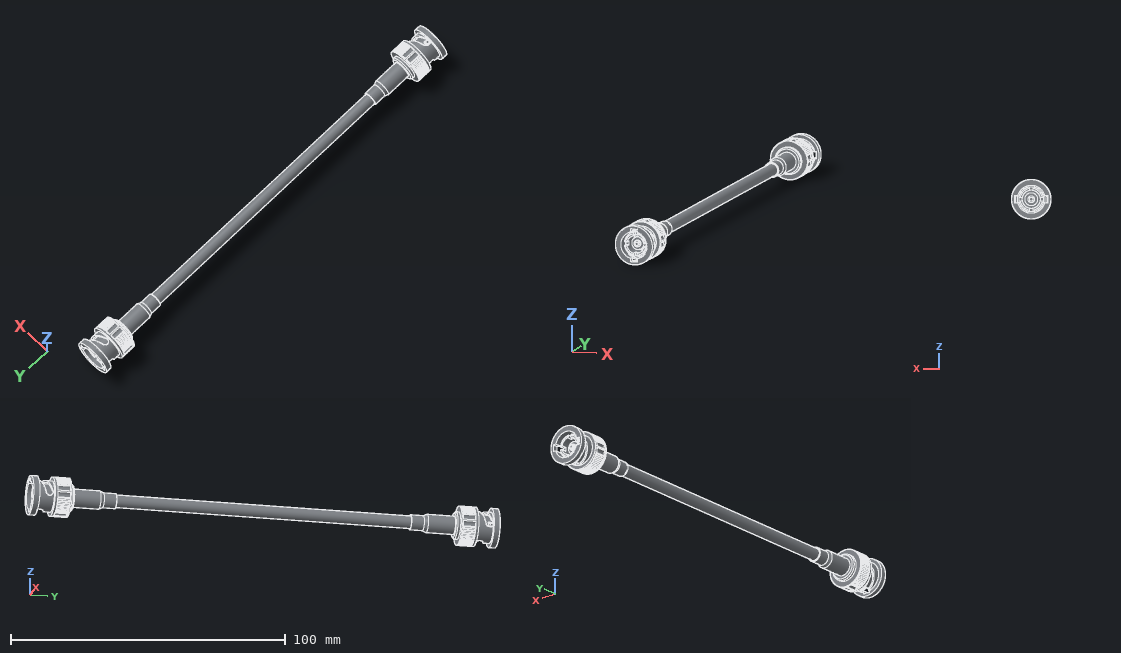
import cadquery as cq
import math


TOTAL_LENGTH = 174.1
HALF_LENGTH = TOTAL_LENGTH / 2
PLUG_DIAMETER = 14.5
CABLE_RADIUS = 2.35

SHELL_RADIUS = PLUG_DIAMETER / 2
BORE_RADIUS = 5.0
BARREL_RADIUS = 5.7
FLANGE_LENGTH = 2.3
BAND_START = 8.0
BAND_END = 14.3

SERRATION_COUNT = 72
SERRATION_PITCH = 360 / SERRATION_COUNT
SERRATION_RADIUS = 0.26
FLUTE_RADIUS = 1.0
FLUTE_CENTRE_OUTSET = 0.3
FLUTE_CENTRE_RADIUS = SHELL_RADIUS + FLUTE_CENTRE_OUTSET
FLUTE_SIDES = (-90, 0, 90)
FLUTE_OFFSET = 2 * SERRATION_PITCH
GRIP_START = 9.0
GRIP_END = 13.8

SLOT_COUNT = 2
SLOT_WIDTH = 2.6
SLOT_DEPTH_RADIUS = 6.1
SLOT_ENTRY_HEIGHT = 3.7
SLOT_LOCK_HEIGHT = 6.3
SLOT_TURN = 90.0
SLOT_ENTRY_ANGLE = -90.0

BODY_FLOOR = 8.7
BODY_END = 15.8
BODY_CHAMFER = 0.5
SLEEVE_OUTER_RADIUS = 4.5
SLEEVE_TIP_RADIUS = 4.0
SLEEVE_TIP_LENGTH = 0.7
SLEEVE_INNER_RADIUS = 3.3
SLEEVE_FRONT = 1.5
SLIT_ANGLES = (0, 90)
SLIT_WIDTH = 1.4
SLIT_DEPTH = 2.3
BOSS_RADIUS = 2.35
BOSS_FRONT = 4.2

PIN_RADIUS = 0.7
PIN_SHOULDER_RADIUS = 1.2
PIN_FRONT = 2.8
PIN_SHOULDER_FRONT = 3.5
PIN_END = 10.5

FERRULE_RADIUS = 3.4
FERRULE_TAIL_RADIUS = 2.8
TAPER_START = 26.0
TAPER_END = 27.3
FERRULE_END = 32.0


def disc(radius, start, end):
    """Solid cylinder on the plug axis between two heights."""
    return cq.Workplane("XY").workplane(offset=start).circle(radius).extrude(end - start)


def bayonet_slot():
    """Cutter for one slot, entering on the +X side and turning about the plug axis."""
    wall = SLOT_DEPTH_RADIUS - SLEEVE_OUTER_RADIUS
    middle = (SLOT_DEPTH_RADIUS + SLEEVE_OUTER_RADIUS) / 2
    climb = SLOT_LOCK_HEIGHT - SLOT_ENTRY_HEIGHT
    helix = cq.Wire.makeHelix(climb * 360 / SLOT_TURN, climb, middle)
    track = (
        cq.Workplane("XZ")
        .center(middle, 0)
        .rect(wall, SLOT_WIDTH)
        .sweep(cq.Workplane(helix), isFrenet=True)
        .translate((0, 0, SLOT_ENTRY_HEIGHT))
    )
    round_end = (
        cq.Workplane("YZ").workplane(offset=SLEEVE_OUTER_RADIUS).circle(SLOT_WIDTH / 2).extrude(wall)
    )
    entry_end = round_end.translate((0, 0, SLOT_ENTRY_HEIGHT))
    lock_end = round_end.translate((0, 0, SLOT_LOCK_HEIGHT)).rotate((0, 0, 0), (0, 0, 1), SLOT_TURN)
    entry = (
        cq.Workplane("XY")
        .center(middle, 0)
        .rect(wall, SLOT_WIDTH)
        .extrude(SLOT_ENTRY_HEIGHT)
    )
    return track.union(entry_end).union(lock_end).union(entry)


def grip_grooves(centre_radius, groove_radius, angles):
    """Cutters for round-bottomed grooves along the band at the given angles."""
    centres = []
    for angle in angles:
        turn = math.radians(angle)
        centres.append((centre_radius * math.cos(turn), centre_radius * math.sin(turn)))
    return (
        cq.Workplane("XY")
        .workplane(offset=GRIP_START)
        .pushPoints(centres)
        .circle(groove_radius)
        .extrude(GRIP_END - GRIP_START)
    )


def serration_angles():
    """Angles of the serrations, leaving out the places taken by the wide flutes."""
    fluted_half_angle = 2 * FLUTE_OFFSET
    angles = []
    for index in range(SERRATION_COUNT):
        angle = -180 + (index + 0.5) * SERRATION_PITCH
        if all(abs(angle - side) > fluted_half_angle for side in FLUTE_SIDES):
            angles.append(angle)
    return angles


def coupling_shell():
    """Flanged barrel with a fluted band, bored through and slotted for bayonet studs."""
    shell = (
        disc(BARREL_RADIUS, 0, BAND_END)
        .union(disc(SHELL_RADIUS, 0, FLANGE_LENGTH))
        .union(disc(SHELL_RADIUS, BAND_START, BAND_END))
        .cut(disc(BORE_RADIUS, 0, BAND_END))
    )
    flute_angles = [side + shift for side in FLUTE_SIDES for shift in (-FLUTE_OFFSET, FLUTE_OFFSET)]
    shell = shell.cut(grip_grooves(FLUTE_CENTRE_RADIUS, FLUTE_RADIUS, flute_angles))
    shell = shell.cut(grip_grooves(SHELL_RADIUS, SERRATION_RADIUS, serration_angles()))
    slot = bayonet_slot()
    for index in range(SLOT_COUNT):
        angle = SLOT_ENTRY_ANGLE + index * 360 / SLOT_COUNT
        shell = shell.cut(slot.rotate((0, 0, 0), (0, 0, 1), angle))
    return shell


def centre_pin():
    """Thin pin on a thicker shoulder."""
    return disc(PIN_RADIUS, PIN_FRONT, PIN_END).union(disc(PIN_SHOULDER_RADIUS, PIN_SHOULDER_FRONT, PIN_END))


def plug_body():
    """Rear disc in the shell bore, with a slitted, stepped contact sleeve and a boss that holds the pin."""
    sleeve = (
        disc(SLEEVE_OUTER_RADIUS, SLEEVE_FRONT + SLEEVE_TIP_LENGTH, BODY_FLOOR)
        .union(disc(SLEEVE_TIP_RADIUS, SLEEVE_FRONT, BODY_FLOOR))
        .cut(disc(SLEEVE_INNER_RADIUS, SLEEVE_FRONT, BODY_FLOOR))
    )
    for angle in SLIT_ANGLES:
        slit = (
            cq.Workplane("XY")
            .workplane(offset=SLEEVE_FRONT)
            .rect(2 * SLEEVE_OUTER_RADIUS, SLIT_WIDTH)
            .extrude(SLIT_DEPTH)
            .rotate((0, 0, 0), (0, 0, 1), angle)
        )
        sleeve = sleeve.cut(slit)
    return (
        disc(BORE_RADIUS, BODY_FLOOR, BODY_END)
        .faces(">Z")
        .chamfer(BODY_CHAMFER)
        .union(sleeve)
        .union(disc(BOSS_RADIUS, BOSS_FRONT, BODY_FLOOR))
        .cut(centre_pin())
    )


def crimp_ferrule():
    """Tube around the cable that tapers to a narrower tail."""
    return (
        cq.Workplane("XZ")
        .moveTo(CABLE_RADIUS, BODY_END)
        .lineTo(FERRULE_RADIUS, BODY_END)
        .lineTo(FERRULE_RADIUS, TAPER_START)
        .lineTo(FERRULE_TAIL_RADIUS, TAPER_END)
        .lineTo(FERRULE_TAIL_RADIUS, FERRULE_END)
        .lineTo(CABLE_RADIUS, FERRULE_END)
        .close()
        .revolve(360, (0, 0, 0), (0, 1, 0))
    )


def cable():
    """Round cable reaching from one plug body to the other."""
    half = HALF_LENGTH - BODY_END
    return cq.Workplane("XZ", origin=(0, half, 0)).circle(CABLE_RADIUS).extrude(2 * half)


def near_end(part):
    """Place a plug part at the -Y end, with its front facing -Y."""
    return part.rotate((0, 0, 0), (1, 0, 0), -90).translate((0, -HALF_LENGTH, 0))


def far_end(part):
    """Place a plug part at the +Y end: the -Y end turned half round the X-Z diagonal."""
    return near_end(part).rotate((0, 0, 0), (1, 0, 1), 180)


bodies = [cable().val()]
for make_part in (coupling_shell, plug_body, centre_pin, crimp_ferrule):
    plug_part = make_part()
    bodies.append(near_end(plug_part).solids().val())
    bodies.append(far_end(plug_part).solids().val())

result = cq.Compound.makeCompound(bodies)